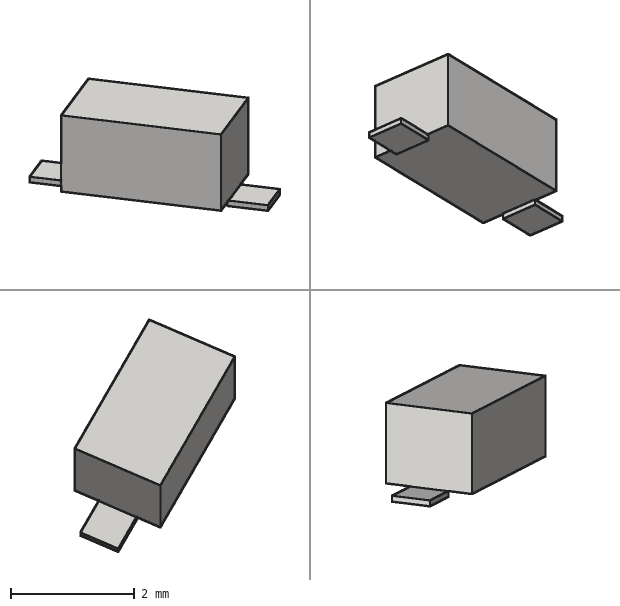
import cadquery as cq

overall_length = 4.03
overall_height = 1.45

lead_length = 0.685
lead_width = 0.685
lead_thickness = 0.1

body_length = 2.705
body_width = 1.55
body_height = overall_height - lead_thickness


def block(length, width, height):
    """Box centred in X and Y with its base at Z = 0."""
    return cq.Workplane("XY").box(length, width, height, centered=(True, True, False))


def make_body():
    return block(body_length, body_width, body_height).translate((0, 0, lead_thickness))


def make_lead(side):
    """Lead at the -X end (side = -1) or the +X end (side = 1)."""
    center_x = side * (overall_length - lead_length) / 2
    return block(lead_length, lead_width, lead_thickness).translate((center_x, 0, 0))


body = make_body()
leads = [make_lead(side) for side in (-1, 1)]

result = cq.Compound.makeCompound([body.val(), *[lead.val() for lead in leads]])